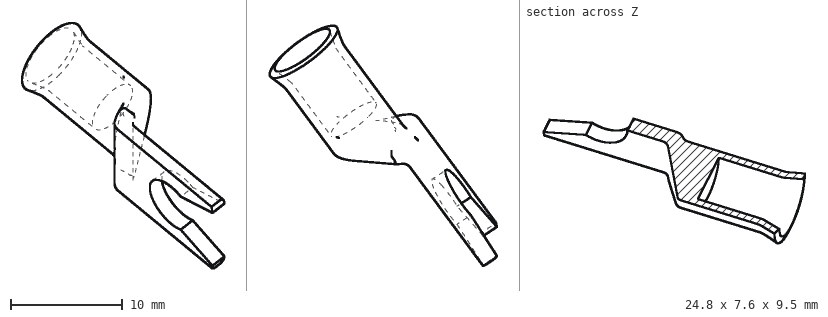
import cadquery as cq
import math

TOTAL_LENGTH = 24.79
BARREL_RADIUS = 3.25
BORE_RADIUS = 2.5
BORE_DEPTH = 8.0

FLARE_ANGLE = math.radians(16)
FLARE_BLEND_START = 1.57
FLARE_BLEND_END = 2.06

PLATE_WIDTH = 9.5
PLATE_THICKNESS = 1.5
PLATE_FRONT_Y = -3.89
BEND_CORNER_X = 12.06
BEND_LEAN = math.radians(30)
BEND_OUTER_RADIUS = 1.0
BEND_INNER_RADIUS = 0.7
SHOULDER_ANGLE = math.radians(30)

NECK_FILLET = 0.8
EDGE_FILLET = 0.5

HOLE_X = 19.5
HOLE_RADIUS = 2.75
MOUTH_START_X = 20.72
MOUTH_ANGLE = math.radians(20)
TIP_SETBACK = 0.12

HALF_WIDTH = PLATE_WIDTH / 2
PLATE_BACK_Y = PLATE_FRONT_Y + PLATE_THICKNESS
BACK_CORNER_X = BEND_CORNER_X + PLATE_THICKNESS * math.tan(math.pi / 4 - BEND_LEAN / 2)
TANGENT_Y = BARREL_RADIUS * math.sin(SHOULDER_ANGLE)
TANGENT_Z = BARREL_RADIUS * math.cos(SHOULDER_ANGLE)
SHOULDER_Y = TANGENT_Y - (HALF_WIDTH - TANGENT_Z) / math.tan(SHOULDER_ANGLE)
MOUTH_HALF_GAP = math.sqrt(HOLE_RADIUS**2 - (MOUTH_START_X - HOLE_X) ** 2)
MOUTH_END_GAP = MOUTH_HALF_GAP + (TOTAL_LENGTH - MOUTH_START_X) * math.tan(MOUTH_ANGLE)
CLEAR_Y = 2 * PLATE_WIDTH
POINT_TOLERANCE = 0.01
SHOULDER_STEP = 0.2
BARREL_MID_X = BORE_DEPTH / 2
FLARE_WALL = (BARREL_RADIUS - BORE_RADIUS) * math.cos(FLARE_ANGLE)
BLEND_RADIUS = (FLARE_BLEND_END - FLARE_BLEND_START) / math.sin(FLARE_ANGLE)


def front_x(y):
    """X of the front neck face at height y."""
    return BEND_CORNER_X - (y - PLATE_FRONT_Y) * math.tan(BEND_LEAN)


def back_x(y):
    """X of the back neck face at height y."""
    return BACK_CORNER_X - (y - PLATE_BACK_Y) * math.tan(BEND_LEAN)


def blend_point(radius, angle):
    """(x, r) on the arc that bends a straight wall outward, at a turn angle."""
    x = FLARE_BLEND_END - BLEND_RADIUS * math.sin(angle)
    return (x, radius + BLEND_RADIUS * (1 - math.cos(angle)))


def mouth_radius():
    """Inside radius of the flare at its open end, X = 0."""
    x, r = blend_point(BORE_RADIUS, FLARE_ANGLE)
    return r + x * math.tan(FLARE_ANGLE)


def revolve_flare(radius, far_x, rim_points):
    """Solid of revolution about X with a flared end; rim_points lead to the axis."""
    profile = (
        cq.Workplane("XY")
        .moveTo(far_x, 0)
        .lineTo(far_x, radius)
        .lineTo(*blend_point(radius, 0))
        .threePointArc(blend_point(radius, FLARE_ANGLE / 2), blend_point(radius, FLARE_ANGLE))
    )
    for point in rim_points:
        profile = profile.lineTo(*point)
    return profile.close().revolve(360, (0, 0, 0), (1, 0, 0))


def barrel_outside():
    """Solid barrel; the end face of the flare is square to the flared wall."""
    inner_r = mouth_radius()
    rim = (FLARE_WALL * math.sin(FLARE_ANGLE), inner_r + FLARE_WALL * math.cos(FLARE_ANGLE))
    rim_points = [rim, (0, inner_r), (0, 0)]
    return revolve_flare(BARREL_RADIUS, BACK_CORNER_X, rim_points)


def bore():
    """Blind wire bore whose mouth runs parallel to the outside of the flare."""
    rim_points = [(0, mouth_radius()), (0, 0)]
    return revolve_flare(BORE_RADIUS, BORE_DEPTH, rim_points)


def side_prism(points):
    """Prism from an (x, y) polygon, wider in Z than the part."""
    return cq.Workplane("XY").polyline(points).close().extrude(PLATE_WIDTH, both=True)


def outline_prism():
    """Shouldered outline along X; the shoulders run tangent to the barrel."""
    half = [(PLATE_FRONT_Y, HALF_WIDTH), (SHOULDER_Y, HALF_WIDTH), (TANGENT_Y, TANGENT_Z)]
    mirrored = [(y, -z) for y, z in reversed(half)]
    return cq.Workplane("YZ").polyline(half + mirrored).close().extrude(TOTAL_LENGTH)


def behind_neck():
    """Space behind the back face of the neck."""
    return side_prism([
        (back_x(-CLEAR_Y), -CLEAR_Y),
        (back_x(CLEAR_Y), CLEAR_Y),
        (2 * TOTAL_LENGTH, CLEAR_Y),
        (2 * TOTAL_LENGTH, -CLEAR_Y),
    ])


def bent_strip():
    """Flat plate and leaning neck of one thickness, with sharp bend corners."""
    return side_prism([
        (TOTAL_LENGTH, PLATE_FRONT_Y),
        (BEND_CORNER_X, PLATE_FRONT_Y),
        (front_x(CLEAR_Y), CLEAR_Y),
        (back_x(CLEAR_Y), CLEAR_Y),
        (BACK_CORNER_X, PLATE_BACK_Y),
        (TOTAL_LENGTH, PLATE_BACK_Y),
    ])


def neck_joint():
    """Neck slab blended into a short length of barrel."""
    slab = side_prism([
        (front_x(-CLEAR_Y), -CLEAR_Y),
        (front_x(CLEAR_Y), CLEAR_Y),
        (back_x(CLEAR_Y), CLEAR_Y),
        (back_x(-CLEAR_Y), -CLEAR_Y),
    ])
    stub = (
        cq.Workplane("YZ", origin=(BARREL_MID_X, 0, 0))
        .circle(BARREL_RADIUS)
        .extrude(BACK_CORNER_X - BARREL_MID_X)
        .cut(behind_neck())
    )
    seam_point = (front_x(BARREL_RADIUS), BARREL_RADIUS, 0)
    return round_edges(slab.union(stub), NECK_FILLET, [seam_point])


def round_edges(body, radius, points):
    """Fillet the edges that pass through the given points."""
    vertices = [cq.Vertex.makeVertex(*point) for point in points]
    edges = [
        edge for edge in body.edges().vals()
        if any(edge.distance(vertex) < POINT_TOLERANCE for vertex in vertices)
    ]
    return body.newObject(edges).fillet(radius)


def shoulder_point(face_x, side):
    """Point on a shoulder edge of one neck face, close to the shoulder corner."""
    y = SHOULDER_Y + SHOULDER_STEP
    z = HALF_WIDTH - SHOULDER_STEP * math.tan(SHOULDER_ANGLE)
    return (face_x(y), y, side * z)


def round_bend(body):
    """Round the outer and inner corners of the bend."""
    body = round_edges(body, BEND_OUTER_RADIUS, [(BEND_CORNER_X, PLATE_FRONT_Y, 0)])
    return round_edges(body, BEND_INNER_RADIUS, [(BACK_CORNER_X, PLATE_BACK_Y, 0)])


def round_back(body):
    """Round the whole back outline of the plate, neck and barrel top."""
    points = []
    for side in (-1, 1):
        points.append((HOLE_X, PLATE_BACK_Y, side * HALF_WIDTH))
        points.append(shoulder_point(back_x, side))
    return round_edges(body, EDGE_FILLET, points)


def lower_half(body):
    """The half of a body with Z below 0."""
    size = 2 * TOTAL_LENGTH
    half_space = cq.Workplane("XY").rect(size, size).extrude(-size)
    return body.intersect(half_space)


def round_outside(body):
    """Round all outside edges; the front edge of the plate is rounded at -Z only."""
    plate_edge = (HOLE_X, PLATE_FRONT_Y, -HALF_WIDTH)
    shoulder_edge = shoulder_point(front_x, -1)

    rounded = round_edges(round_bend(body), EDGE_FILLET, [plate_edge, shoulder_edge])
    minus_z_half = lower_half(round_back(rounded))

    sharp = round_bend(round_edges(body, EDGE_FILLET, [shoulder_edge]))
    plus_z_half = lower_half(round_back(sharp)).mirror("XY")
    return minus_z_half.union(plus_z_half).clean()


def along_y(sketch):
    """Cutter from an XZ sketch, through the plate thickness."""
    return sketch.extrude(CLEAR_Y, both=True)


def fork_opening():
    """Stud hole and the flared mouth that opens it at the prong end."""
    hole = along_y(cq.Workplane("XZ").center(HOLE_X, 0).circle(HOLE_RADIUS))
    mouth = along_y(
        cq.Workplane("XZ")
        .polyline([
            (HOLE_X, 0),
            (MOUTH_START_X, MOUTH_HALF_GAP),
            (TOTAL_LENGTH, MOUTH_END_GAP),
            (TOTAL_LENGTH, -MOUTH_END_GAP),
            (MOUTH_START_X, -MOUTH_HALF_GAP),
        ])
        .close()
    )
    return hole.union(mouth)


def tip_trim(side):
    """Wedge that slants the end of one prong back toward its outer edge."""
    return along_y(
        cq.Workplane("XZ")
        .polyline([
            (TOTAL_LENGTH, side * MOUTH_END_GAP),
            (TOTAL_LENGTH, side * HALF_WIDTH),
            (TOTAL_LENGTH - TIP_SETBACK, side * HALF_WIDTH),
        ])
        .close()
    )


strip = bent_strip().union(neck_joint()).intersect(outline_prism())
barrel = barrel_outside().cut(behind_neck())
body = round_outside(strip.union(barrel).clean())
result = body.cut(bore()).cut(fork_opening()).cut(tip_trim(1)).cut(tip_trim(-1))